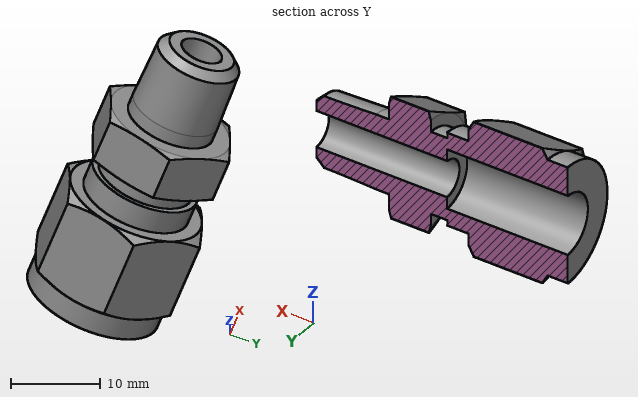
import cadquery as cq
import math

LENGTH = 34.03

NUT_HEX_START = 2.72
NUT_HEX_END = 13.48
SHOULDER_END = 16.35
BODY_HEX_START = 18.5
BODY_HEX_END = 24.25
TAPER_START = 25.9

NUT_FLATS = 15.85
COLLAR_DIA = 15.8
SHOULDER_DIA = 12.65
NECK_DIA = 11.23
BODY_FLATS = 14.3
THREAD_DIA = 10.25
THREAD_TAPER = 1 / 16
END_CHAMFER = 1.02

NUT_CHAMFER_ANGLE = 30.0
BODY_CHAMFER_ANGLE = 15.0

SOCKET_DIA = 7.95
SOCKET_DEPTH = SHOULDER_END
BORE_DIA = 4.85


def cylinder(start, end, diameter):
    """Round bar along X between two stations."""
    return cq.Workplane("YZ", origin=(start, 0, 0)).circle(diameter / 2).extrude(end - start)


def revolve_about_x(profile):
    """Solid of revolution from a closed outline of (x, radius) points."""
    return cq.Workplane("XY").polyline(profile).close().revolve(360, (0, 0, 0), (1, 0, 0))


def chamfered_hexagon(start, end, flats, face_dia, chamfer_angle):
    """Hexagonal bar with corners at +Z and -Z and conical chamfers at both ends."""
    corner_radius = flats / math.sqrt(3)
    prism = (
        cq.Workplane("YZ", origin=(start, 0, 0))
        .polygon(6, 2 * corner_radius)
        .extrude(end - start)
        .rotate((0, 0, 0), (1, 0, 0), 90)
    )
    face_radius = face_dia / 2
    setback = (corner_radius - face_radius) * math.tan(math.radians(chamfer_angle))
    envelope = revolve_about_x([
        (start, 0),
        (start, face_radius),
        (start + setback, corner_radius),
        (end - setback, corner_radius),
        (end, face_radius),
        (end, 0),
    ])
    return prism.intersect(envelope)


def thread_end():
    """Short cylinder, then a pipe taper finished with a 45 degree chamfer."""
    radius = THREAD_DIA / 2
    chamfer_start = LENGTH - END_CHAMFER
    small_radius = radius - (chamfer_start - TAPER_START) * THREAD_TAPER / 2
    return revolve_about_x([
        (BODY_HEX_END, 0),
        (BODY_HEX_END, radius),
        (TAPER_START, radius),
        (chamfer_start, small_radius),
        (LENGTH, small_radius - END_CHAMFER),
        (LENGTH, 0),
    ])


collar = cylinder(0, NUT_HEX_START, COLLAR_DIA)
nut = chamfered_hexagon(NUT_HEX_START, NUT_HEX_END, NUT_FLATS, COLLAR_DIA, NUT_CHAMFER_ANGLE)

shoulder = cylinder(NUT_HEX_END, SHOULDER_END, SHOULDER_DIA)
neck = cylinder(SHOULDER_END, BODY_HEX_START, NECK_DIA)
body_hexagon = chamfered_hexagon(BODY_HEX_START, BODY_HEX_END, BODY_FLATS, BODY_FLATS, BODY_CHAMFER_ANGLE)

outside = collar.union(nut).union(shoulder).union(neck).union(body_hexagon).union(thread_end())

socket = cylinder(0, SOCKET_DEPTH, SOCKET_DIA)
bore = cylinder(0, LENGTH, BORE_DIA)

result = outside.cut(socket).cut(bore)